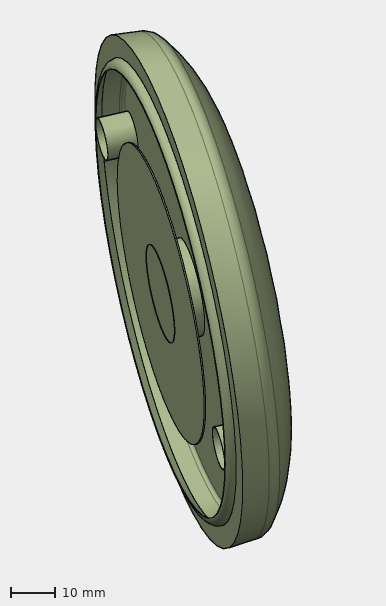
import cadquery as cq

outer_radius = 59.5
rim_height = 6.4
side_top_radius = 58.9
shoulder_height = 9.3
shoulder_radius = 57.6
shoulder_mid = (58.5, 8.1)
dome_height = 18.0
dome_points = [(52.1, 13.0), (45.5, 15.6), (30.9, 17.5)]
dome_tangents = [(-1, 0.8), (-1, 0)]

recess_radius = 53.9
floor_depth = 5.1
floor_fillet = 1.0

ring_outer_radius = 54.3
ring_inner_radius = 52.0
ring_curl_mid = (53.7, -1.3)
ring_edge = 0.1
front_reach = 2.0

tube_offset = 47.0
tube_radius = 5.0
tube_wall = 0.1
dome_wall = 1.2

boss_radius = 11.4
flange_radius = 35.0
flange_thickness = 0.4
boss_step = 0.1


def rod(radius, start, end, x=0.0):
    """Cylinder along Y, from start to end."""
    return cq.Workplane(cq.Solid.makeCylinder(
        radius, end - start, cq.Vector(x, start, 0), cq.Vector(0, 1, 0)))


def make_dome():
    profile = (
        cq.Workplane("XY")
        .lineTo(outer_radius, 0)
        .lineTo(side_top_radius, rim_height)
        .threePointArc(shoulder_mid, (shoulder_radius, shoulder_height))
        .spline(dome_points + [(0, dome_height)], tangents=dome_tangents, includeCurrent=True)
        .close()
    )
    return profile.revolve(360, (0, 0, 0), (0, 1, 0))


def make_recess():
    recess = rod(recess_radius, 0, floor_depth)
    return recess.faces(">Y").edges().fillet(floor_fillet)


def make_flanged_boss():
    front = -front_reach + boss_step
    flange = rod(flange_radius, front, front + flange_thickness)
    return rod(boss_radius, -front_reach, floor_depth).union(flange)


def make_cap():
    dome = make_dome()
    cap = dome.cut(make_recess())
    cap = cap.union(make_flanged_boss())
    bore_limit = dome.translate((0, -dome_wall, 0))
    for x in (-tube_offset, tube_offset):
        cap = cap.union(rod(tube_radius, -front_reach, floor_depth, x))
        bore_radius = tube_radius - tube_wall
        open_bore = rod(bore_radius, -front_reach, floor_depth, x)
        deep_bore = rod(bore_radius, 0, dome_height, x).intersect(bore_limit)
        cap = cap.cut(open_bore).cut(deep_bore)
    return cap


def make_sealing_ring():
    profile = (
        cq.Workplane("XY")
        .moveTo(recess_radius, 0)
        .lineTo(ring_outer_radius, 0)
        .threePointArc(ring_curl_mid, (ring_inner_radius, -front_reach))
        .lineTo(ring_inner_radius, ring_edge - front_reach)
        .close()
    )
    return profile.revolve(360, (0, 0, 0), (0, 1, 0))


cap = make_cap()
sealing_ring = make_sealing_ring()
result = cq.Compound.makeCompound([cap.val(), sealing_ring.val()])